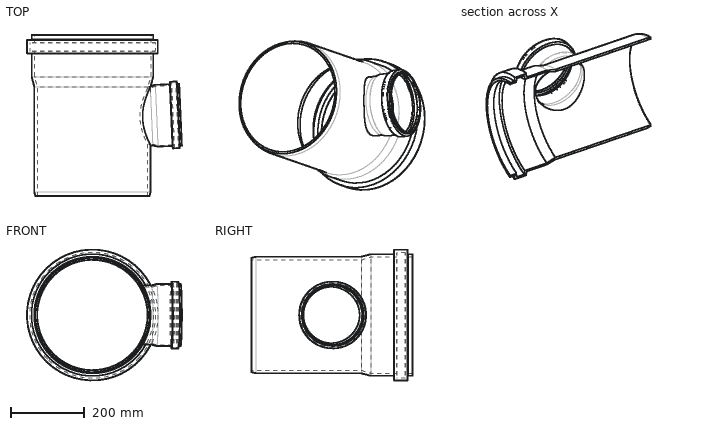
import cadquery as cq
import math

RUN_LENGTH = 437.0
RUN_PIPE_DIAMETER = 315.8
RUN_BORE_DIAMETER = 298.2
RUN_SOCKET_DIAMETER = 330.1
RUN_SOCKET_WALL = 6.9
RUN_COLLAR_DIAMETER = 354.7
RUN_TAPER_START = 297.0
RUN_TAPER_END = 323.7
RUN_COLLAR_START = 385.0
RUN_COLLAR_END = 424.3
SPIGOT_CHAMFER_LENGTH = 11.6
SPIGOT_CHAMFER_DEPTH = 3.3

BRANCH_TILT = 2.5
BRANCH_POSITION = 210.4
BRANCH_REACH_X = 242.65
BRANCH_PIPE_DIAMETER = 160.7
BRANCH_BORE_DIAMETER = 152.3
BRANCH_SOCKET_DIAMETER = 168.1
BRANCH_SOCKET_WALL = 3.5
BRANCH_COLLAR_DIAMETER = 181.4
BRANCH_TAPER_START = 159.8
BRANCH_TAPER_END = 173.7
BRANCH_COLLAR_START = 213.0
BRANCH_COLLAR_END = 234.0

COLLAR_SIDE_SLOPE = 1.5

tilt = math.radians(BRANCH_TILT)
branch_length = (BRANCH_REACH_X - BRANCH_SOCKET_DIAMETER / 2 * math.sin(tilt)) / math.cos(tilt)


def pipe_with_socket(plane, pipe, socket, collar, taper, collar_span, length):
    """Solid of revolution about the plane's local Y axis: pipe, taper, socket, collar, lip."""
    taper_start, taper_end = taper
    collar_start, collar_end = collar_span
    profile = [
        (0, 0),
        (pipe / 2, 0),
        (pipe / 2, taper_start),
        (socket / 2, taper_end),
        (socket / 2, collar_start),
        (collar / 2, collar_start + COLLAR_SIDE_SLOPE),
        (collar / 2, collar_end - COLLAR_SIDE_SLOPE),
        (socket / 2, collar_end),
        (socket / 2, length),
        (0, length),
    ]
    return cq.Workplane(plane).polyline(profile).close().revolve(360, (0, 0, 0), (0, 1, 0))


def run_solid(pipe, wall):
    """Outside of the run, or its cavity when a wall thickness is given."""
    return pipe_with_socket(
        cq.Plane.XY(),
        pipe,
        RUN_SOCKET_DIAMETER - 2 * wall,
        RUN_COLLAR_DIAMETER - 2 * wall,
        (RUN_TAPER_START, RUN_TAPER_END),
        (RUN_COLLAR_START + wall, RUN_COLLAR_END - wall),
        RUN_LENGTH,
    )


def branch_solid(pipe, wall):
    """Outside of the branch, or its cavity when a wall thickness is given."""
    branch_axis = (math.cos(tilt), math.sin(tilt), 0)
    across_axis = (math.sin(tilt), -math.cos(tilt), 0)
    plane = cq.Plane(
        origin=(0, BRANCH_POSITION, 0),
        xDir=across_axis,
        normal=cq.Vector(*across_axis).cross(cq.Vector(*branch_axis)),
    )
    return pipe_with_socket(
        plane,
        pipe,
        BRANCH_SOCKET_DIAMETER - 2 * wall,
        BRANCH_COLLAR_DIAMETER - 2 * wall,
        (BRANCH_TAPER_START, BRANCH_TAPER_END),
        (BRANCH_COLLAR_START + wall, BRANCH_COLLAR_END - wall),
        branch_length,
    )


def chamfer_spigot(run):
    """Long, shallow lead-in chamfer on the outside of the spigot end."""
    return run.faces("<Y").chamfer(SPIGOT_CHAMFER_DEPTH, SPIGOT_CHAMFER_LENGTH)


run_outside = chamfer_spigot(run_solid(RUN_PIPE_DIAMETER, 0))
branch_outside = branch_solid(BRANCH_PIPE_DIAMETER, 0)
run_cavity = run_solid(RUN_BORE_DIAMETER, RUN_SOCKET_WALL)
branch_cavity = branch_solid(BRANCH_BORE_DIAMETER, BRANCH_SOCKET_WALL)

result = run_outside.union(branch_outside).cut(run_cavity).cut(branch_cavity)